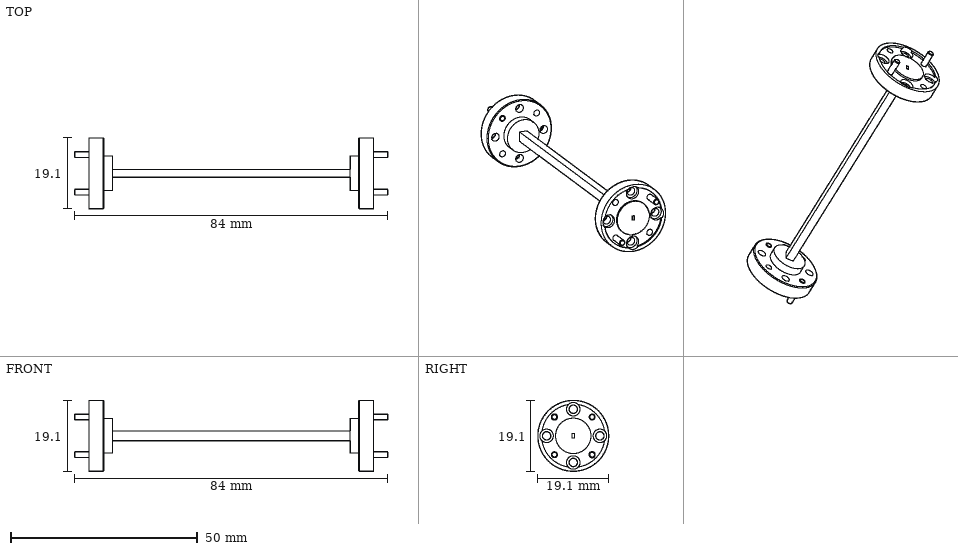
import cadquery as cq
import math

OVERALL_LENGTH = 83.95
HALF_LENGTH = OVERALL_LENGTH / 2

FLANGE_DIAMETER = 19.05
FLANGE_THICKNESS = 4.0
FLANGE_CHAMFER = 0.25
HUB_DIAMETER = 9.3
HUB_LENGTH = 2.3

BOSS_DIAMETER = 9.5
GROOVE_DIAMETER = 16.95
GROOVE_DEPTH = 0.5

HOLE_CIRCLE_DIAMETER = 14.3
SCREW_HOLE_DIAMETER = 2.2
COUNTERBORE_DIAMETER = 3.6
COUNTERBORE_DEPTH = 1.5
DOWEL_HOLE_DIAMETER = 1.7

PIN_DIAMETER = 1.6
PIN_PROTRUSION = 3.9
PIN_CHAMFER = 0.2

TUBE_WIDTH = 2.2
TUBE_HEIGHT = 2.7
PORT_WIDTH = 0.6
PORT_HEIGHT = 1.2
PORT_DEPTH = 0.2

FACE_X = HALF_LENGTH - PIN_PROTRUSION
BACK_X = FACE_X - FLANGE_THICKNESS
HUB_X = BACK_X - HUB_LENGTH
PIN_LENGTH = PIN_PROTRUSION + FLANGE_THICKNESS

SCREW_ANGLES = (0, 90, 180, 270)
PIN_ANGLES = {-1: (135, 315), 1: (45, 225)}
OPEN_DOWEL_ANGLES = {-1: (45, 225), 1: (135, 315)}


def rod(diameter, start_x, length, angle=None):
    """Cylinder along +X, on the axis or on the hole circle at the given angle."""
    radius = 0 if angle is None else HOLE_CIRCLE_DIAMETER / 2
    turn = math.radians(angle or 0)
    center = (radius * math.cos(turn), radius * math.sin(turn))
    return cq.Workplane("YZ", origin=(start_x, 0, 0)).center(*center).circle(diameter / 2).extrude(length)


def make_flange(side):
    """Flange with its hub; side is -1 or +1, the end of the tube it sits on."""
    back_edge = ">X" if side < 0 else "<X"
    disc = rod(FLANGE_DIAMETER, side * FACE_X, -side * FLANGE_THICKNESS)
    disc = disc.faces(back_edge).chamfer(FLANGE_CHAMFER)
    flange = disc.union(rod(HUB_DIAMETER, side * BACK_X, -side * HUB_LENGTH))

    groove = rod(GROOVE_DIAMETER, side * FACE_X, -side * GROOVE_DEPTH)
    flange = flange.cut(groove.cut(rod(BOSS_DIAMETER, side * FACE_X, -side * GROOVE_DEPTH)))

    for angle in SCREW_ANGLES:
        flange = flange.cut(rod(SCREW_HOLE_DIAMETER, side * FACE_X, -side * FLANGE_THICKNESS, angle))
        flange = flange.cut(rod(COUNTERBORE_DIAMETER, side * FACE_X, -side * COUNTERBORE_DEPTH, angle))
    for angle in OPEN_DOWEL_ANGLES[side]:
        flange = flange.cut(rod(DOWEL_HOLE_DIAMETER, side * FACE_X, -side * FLANGE_THICKNESS, angle))
    for angle in PIN_ANGLES[side]:
        flange = flange.cut(rod(PIN_DIAMETER, side * FACE_X, -side * FLANGE_THICKNESS, angle))
    return flange


def make_waveguide():
    """Tube and both flanges in one piece, with a blind port recess at each end."""
    tube = cq.Workplane("XY").box(2 * HUB_X, TUBE_WIDTH, TUBE_HEIGHT)
    waveguide = tube.union(make_flange(-1)).union(make_flange(1))
    for side in (-1, 1):
        port = cq.Workplane("YZ", origin=(side * FACE_X, 0, 0)).rect(PORT_WIDTH, PORT_HEIGHT)
        waveguide = waveguide.cut(port.extrude(-side * PORT_DEPTH))
    return waveguide


def make_pin(side, angle):
    """Dowel pin, flush with the back of its flange, with both ends chamfered."""
    pin = rod(PIN_DIAMETER, side * BACK_X, side * PIN_LENGTH, angle)
    return pin.faces("<X or >X").chamfer(PIN_CHAMFER)


waveguide = make_waveguide()
pins = [make_pin(side, angle) for side in (-1, 1) for angle in PIN_ANGLES[side]]

result = cq.Compound.makeCompound([waveguide.val(), *[pin.val() for pin in pins]])